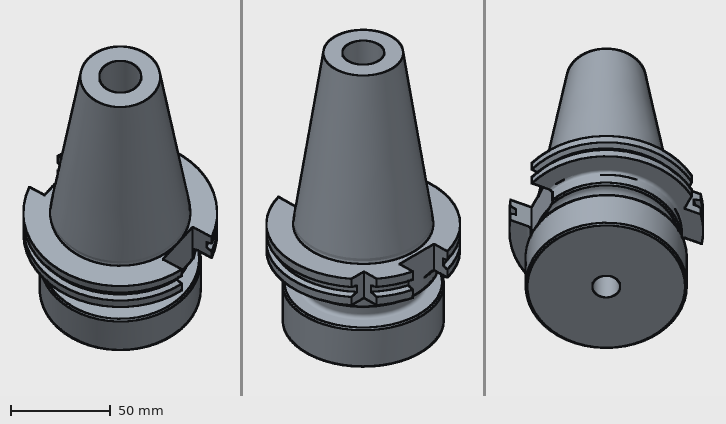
import cadquery as cq
import math

total_height = 164.8
nut_height = 24.0
neck_start_z = 26.2
neck_end_z = 29.7
collar_bottom_z = 35.0
flange_bottom_z = 43.8
flange_top_z = 60.0
pilot_top_z = 61.3
gauge_line_z = 63.0

nut_radius = 40.5
neck_radius = 31.0
collar_radius = 38.0
flange_radius = 97.4 / 2
pilot_base_radius = 35.3
gauge_radius = 35.0
taper_ratio = 7 / 24
taper_top_radius = gauge_radius - (total_height - gauge_line_z) * taper_ratio / 2

nut_chamfer = 1.0
collar_chamfer = 1.0
collar_fillet = 1.6
neck_foot_fillet = neck_start_z - nut_height
neck_fillet = collar_bottom_z - neck_end_z

groove_center_z = (flange_bottom_z + flange_top_z) / 2
groove_floor_radius = 45.6
groove_mouth_width = 6.1
groove_floor_width = 3.8

left_slot_width = 24.7
left_slot_floor = 37.7
right_slot_width = 26.0
right_slot_floor = 35.3
notch_corner = 29.7

through_radius = 14.0 / 2
counterbore_radius = 10.5
counterbore_depth = 33.0


def turned_body():
    """Revolve the outer profile of nut, neck, collar, flange and taper."""
    foot_dip = neck_foot_fillet * math.sqrt(0.5)
    foot_center_r = neck_radius + neck_foot_fillet
    arc_dip = neck_fillet * math.sqrt(0.5)
    arc_center_r = neck_radius + neck_fillet
    blend_dip = collar_fillet * math.sqrt(0.5)
    blend_r = collar_radius + collar_fillet
    blend_z = flange_bottom_z - collar_fillet
    profile = (
        cq.Workplane("XZ")
        .lineTo(nut_radius - nut_chamfer, 0)
        .lineTo(nut_radius, nut_chamfer)
        .lineTo(nut_radius, nut_height - nut_chamfer)
        .lineTo(nut_radius - nut_chamfer, nut_height)
        .lineTo(foot_center_r, nut_height)
        .threePointArc(
            (foot_center_r - foot_dip, neck_start_z - foot_dip),
            (neck_radius, neck_start_z),
        )
        .lineTo(neck_radius, neck_end_z)
        .threePointArc(
            (arc_center_r - arc_dip, neck_end_z + arc_dip),
            (arc_center_r, collar_bottom_z),
        )
        .lineTo(collar_radius - collar_chamfer, collar_bottom_z)
        .lineTo(collar_radius, collar_bottom_z + collar_chamfer)
        .lineTo(collar_radius, blend_z)
        .threePointArc((blend_r - blend_dip, blend_z + blend_dip), (blend_r, flange_bottom_z))
        .lineTo(flange_radius, flange_bottom_z)
        .lineTo(flange_radius, groove_center_z - groove_mouth_width / 2)
        .lineTo(groove_floor_radius, groove_center_z - groove_floor_width / 2)
        .lineTo(groove_floor_radius, groove_center_z + groove_floor_width / 2)
        .lineTo(flange_radius, groove_center_z + groove_mouth_width / 2)
        .lineTo(flange_radius, flange_top_z)
        .lineTo(pilot_base_radius, flange_top_z)
        .lineTo(gauge_radius, pilot_top_z)
        .lineTo(gauge_radius, gauge_line_z)
        .lineTo(taper_top_radius, total_height)
        .lineTo(0, total_height)
        .close()
    )
    return profile.revolve(360, (0, 0, 0), (0, 1, 0))


def drive_slot(side, floor, width):
    """Cutter for a slot through flange and collar; side is -1 or +1 along X."""
    length = flange_radius - floor
    height = flange_top_z - collar_bottom_z
    center_x = side * (floor + length / 2)
    return (
        cq.Workplane("XY", origin=(center_x, 0, collar_bottom_z))
        .rect(length, width)
        .extrude(height)
    )


def orientation_notch():
    """Cutter for the square corner notch in the -X, +Y part of the flange."""
    size = flange_radius - notch_corner
    return (
        cq.Workplane("XY", origin=(-notch_corner, notch_corner, flange_bottom_z))
        .rect(-size, size, centered=False)
        .extrude(flange_top_z - flange_bottom_z)
    )


def axial_bore():
    """Cutter for the through hole and its counterbore at the small taper end."""
    through = cq.Workplane("XY").circle(through_radius).extrude(total_height)
    counterbore = (
        cq.Workplane("XY", origin=(0, 0, total_height - counterbore_depth))
        .circle(counterbore_radius)
        .extrude(counterbore_depth)
    )
    return through.union(counterbore)


result = (
    turned_body()
    .cut(drive_slot(-1, left_slot_floor, left_slot_width))
    .cut(drive_slot(1, right_slot_floor, right_slot_width))
    .cut(orientation_notch())
    .cut(axial_bore())
)